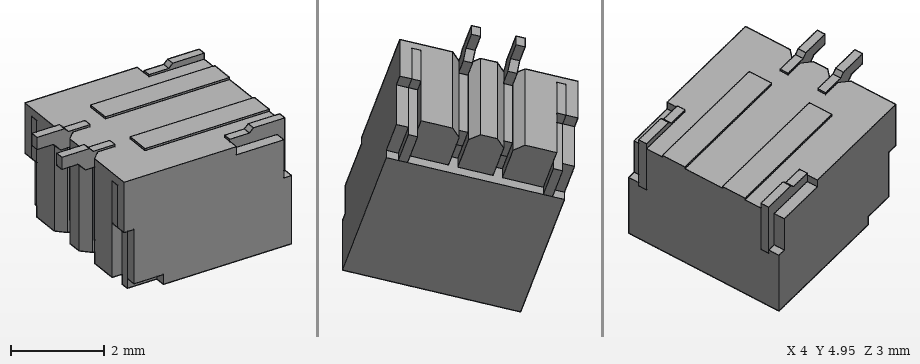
import cadquery as cq


overall_height = 3.0
overall_depth = 4.95
tail_reach = 0.7

housing_width = 4.0
housing_depth = overall_depth - tail_reach
housing_top = 2.85
step_length = 1.0
step_height = 0.248
corner_recess_depth = 0.25
corner_recess_top = 1.6

rib_width = 0.6
rib_spacing = 1.6
rib_length = 3.155
rib_height = 0.05

sheet = 0.21
low_top = housing_top + rib_height
top_slope = overall_height - low_top

contact_spacing = 1.0
contact_back = 0.65
contact_front = 0.25
contact_bottom = 0.55
tail_bottom = 2.7
heel_bottom = 2.5
heel_reach = 0.1
funnel_depth = 0.21

anchor_spacing = 3.25
anchor_high_length = 0.8
anchor_open_length = 1.4
anchor_bar_top = 2.65

wall_notch_depth = 0.2
wall_notch_bottom = 1.7


def block(x_range, y_range, z_range):
    """Box between two limits on each axis."""
    (x0, x1), (y0, y1), (z0, z1) = x_range, y_range, z_range
    return cq.Workplane("XY").box(x1 - x0, y1 - y0, z1 - z0, centered=False).translate((x0, y0, z0))


def sheet_plate(x_center, outline):
    """Plate of sheet thickness with a (Y, Z) outline."""
    plane = cq.Workplane("YZ", origin=(x_center, 0, 0))
    return plane.polyline(outline).close().extrude(sheet / 2, both=True)


def mirrored_pair(spacing):
    """X positions of a pair of features set evenly about the middle."""
    return (-spacing / 2, spacing / 2)


def make_contact(x_center):
    """Upright plate with a heel and a solder tail at its upper front."""
    slope_run = tail_bottom - heel_bottom
    return sheet_plate(x_center, [
        (contact_back, contact_bottom),
        (contact_back, low_top),
        (top_slope, low_top),
        (0, overall_height),
        (-tail_reach, overall_height),
        (-tail_reach, tail_bottom),
        (-heel_reach - slope_run, tail_bottom),
        (-heel_reach, heel_bottom),
        (contact_front, heel_bottom),
        (contact_front, contact_bottom),
    ])


def make_anchor(x_center):
    """Long plate with a raised solder edge at the back and a leg at the front."""
    high_end = housing_depth - anchor_high_length
    open_end = housing_depth - anchor_open_length
    return sheet_plate(x_center, [
        (housing_depth, corner_recess_top),
        (housing_depth, overall_height),
        (high_end, overall_height),
        (high_end - top_slope, low_top),
        (open_end, low_top),
        (open_end, anchor_bar_top),
        (0, anchor_bar_top),
        (0, corner_recess_top),
        (corner_recess_depth, corner_recess_top),
        (corner_recess_depth, 0),
        (step_length, 0),
        (step_length, corner_recess_top),
    ])


def contact_slot(x_center):
    """Slot open to the front, with a flared mouth and a deeper foot below the contact."""
    half = sheet / 2
    sides = (x_center - half, x_center + half)
    slot = block(sides, (0, contact_back), (0, housing_top))
    foot = block(sides, (0, step_length), (0, contact_bottom))
    funnel = (
        cq.Workplane("XY")
        .polyline([
            (x_center - half - funnel_depth, 0),
            (x_center + half + funnel_depth, 0),
            (x_center + half, funnel_depth),
            (x_center - half, funnel_depth),
        ])
        .close()
        .extrude(housing_top)
    )
    return slot.union(foot).union(funnel)


def side_cuts(side):
    """Front corner relief and rear wall cut-away on one side (-1 left, +1 right)."""
    outer = side * housing_width / 2
    anchor_inner = side * (anchor_spacing - sheet) / 2
    anchor_outer = side * (anchor_spacing + sheet) / 2
    corner_x = sorted((outer, anchor_inner))
    wall_x = sorted((outer, anchor_outer))

    corner = block(corner_x, (0, corner_recess_depth), (0, corner_recess_top))
    wall_top = block(
        wall_x, (housing_depth - anchor_open_length, housing_depth), (anchor_bar_top, housing_top))
    wall_back = block(
        wall_x, (housing_depth - wall_notch_depth, housing_depth), (wall_notch_bottom, housing_top))
    return corner.union(wall_top).union(wall_back)


def make_housing(anchors):
    """Block with top ribs, stepped underside, contact slots and close-fitting anchor slits."""
    sides = (-housing_width / 2, housing_width / 2)
    body = block(sides, (0, housing_depth), (0, housing_top))
    for x in mirrored_pair(rib_spacing):
        rib = block(
            (x - rib_width / 2, x + rib_width / 2),
            (housing_depth - rib_length, housing_depth),
            (housing_top, housing_top + rib_height),
        )
        body = body.union(rib)
    body = body.cut(block(sides, (0, step_length), (0, step_height)))
    for x in mirrored_pair(contact_spacing):
        body = body.cut(contact_slot(x))
    for side in (-1, 1):
        body = body.cut(side_cuts(side))
    for anchor in anchors:
        body = body.cut(anchor)
    return body


contacts = [make_contact(x) for x in mirrored_pair(contact_spacing)]
anchors = [make_anchor(x) for x in mirrored_pair(anchor_spacing)]
housing = make_housing(anchors)

result = cq.Compound.makeCompound([
    housing.val(),
    *[contact.val() for contact in contacts],
    *[anchor.val() for anchor in anchors],
])